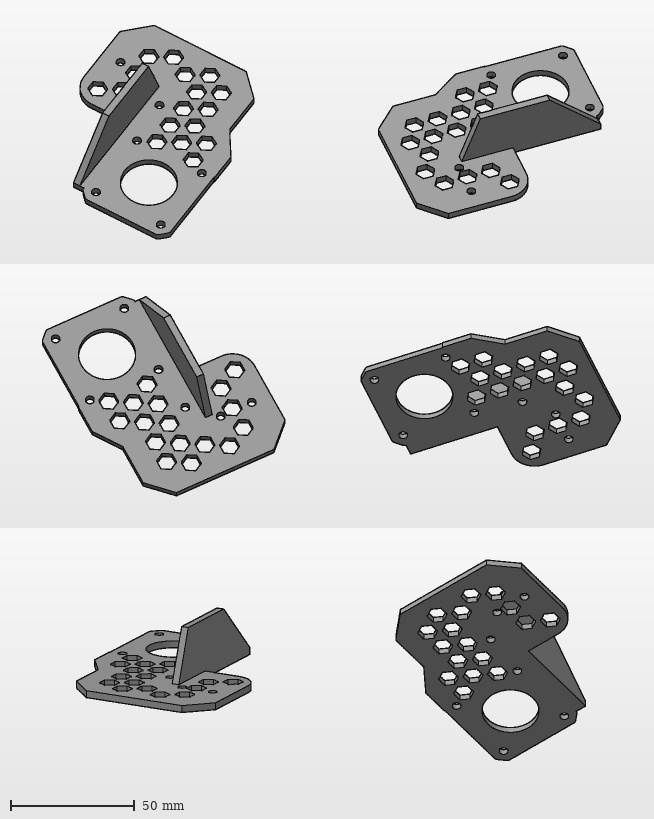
import cadquery as cq
import math


width = 72.0
length = 89.6
height = 25.0
plate_thickness = 3.0

motor_half = 20.8
motor_corner = 3.7
motor_corner_round = 1.8
motor_bore_diameter = 23.0
motor_hole_spacing = 31.0
screw_hole_diameter = 3.5

shoulder_step = 0.3
right = motor_half + shoulder_step
left = right - width
back = length - motor_half
arm_right = 13.1
arm_front = 21.4
arm_corner = 10.0
shoulder_back = 40.4
shoulder_front = 28.8
motor_corner_reach = motor_corner + motor_corner_round * math.tan(math.pi / 8)
corner_end = motor_half - motor_corner_reach

rib_left = -25.7
rib_thickness = 3.05
rib_length = 59.9
rib_back_run = 8.0
rib_height = height - plate_thickness
rib_front = -corner_end
rib_back = rib_front + rib_length

arm_pair_x = (-42.5, -28.5)
arm_pair_y = 45.7
arm_single_hole = (-17.5, 35.7)

hex_across_flats = 7.0
hex_grid_depth = 40.0
hex_row_steps = 4
hex_row_pitch = hex_grid_depth / hex_row_steps
hex_column_pitch = hex_row_pitch * math.sqrt(3) / 2
hex_middle_column_x = 0.3
hex_back_row_y = 59.3
hex_columns = {
    -5: (3,),
    -4: (0.5, 1.5, 2.5),
    -3: (0,),
    -2: (0.5,),
    -1: (0, 1, 2, 3, 4),
    0: (0.5, 1.5, 2.5, 3.5),
    1: (3, 4),
}


def make_motor_mount():
    """Square plate with rounded chamfers on its corners."""
    side = 2 * motor_half
    return (
        cq.Workplane("XY")
        .rect(side, side)
        .extrude(plate_thickness)
        .edges("|Z")
        .chamfer(motor_corner)
        .edges("|Z")
        .fillet(motor_corner_round)
    )


def make_arm():
    """Plate behind and beside the motor mount, running forward under the rib."""
    return (
        cq.Workplane("XY")
        .moveTo(left + arm_corner, arm_front)
        .lineTo(rib_left, arm_front)
        .lineTo(rib_left, rib_front)
        .lineTo(-motor_half, rib_front)
        .lineTo(motor_half, corner_end)
        .lineTo(right, corner_end)
        .lineTo(right, shoulder_front)
        .lineTo(arm_right, shoulder_back)
        .lineTo(arm_right, back - arm_corner)
        .lineTo(arm_right - arm_corner, back)
        .lineTo(left + arm_corner, back)
        .lineTo(left, back - arm_corner)
        .lineTo(left, arm_front + arm_corner)
        .radiusArc((left + arm_corner, arm_front), -arm_corner)
        .close()
        .extrude(plate_thickness)
    )


def make_rib():
    """Upright rib: steep slope at the back and a 45 degree slope at the front."""
    return (
        cq.Workplane("YZ", origin=(rib_left, 0, 0))
        .moveTo(rib_front, 0)
        .lineTo(rib_back, 0)
        .lineTo(rib_back, plate_thickness)
        .lineTo(rib_back - rib_back_run, height)
        .lineTo(rib_front + rib_height, height)
        .lineTo(rib_front, plate_thickness)
        .close()
        .extrude(rib_thickness)
    )


def round_cutter(points, diameter):
    """Cylinders through the plate at the given points."""
    return cq.Workplane("XY").pushPoints(points).circle(diameter / 2).extrude(plate_thickness)


def hex_cutter():
    """Hexagonal prisms with a corner pointing along Y."""
    points = [
        (hex_middle_column_x + column * hex_column_pitch, hex_back_row_y - row * hex_row_pitch)
        for column, rows in hex_columns.items()
        for row in rows
    ]
    across_corners = 2 * hex_across_flats / math.sqrt(3)
    half_hex_turn = 30
    prism = (
        cq.Workplane("XY")
        .polygon(6, across_corners)
        .extrude(plate_thickness)
        .rotate((0, 0, 0), (0, 0, 1), half_hex_turn)
        .val()
    )
    return cq.Workplane("XY").pushPoints(points).eachpoint(prism, combine=True)


half_spacing = motor_hole_spacing / 2
screw_points = [(x, y) for x in (-half_spacing, half_spacing) for y in (-half_spacing, half_spacing)]
screw_points += [(x, arm_pair_y) for x in arm_pair_x]
screw_points.append(arm_single_hole)

result = (
    make_motor_mount()
    .union(make_arm())
    .union(make_rib())
    .cut(round_cutter([(0, 0)], motor_bore_diameter))
    .cut(round_cutter(screw_points, screw_hole_diameter))
    .cut(hex_cutter())
)